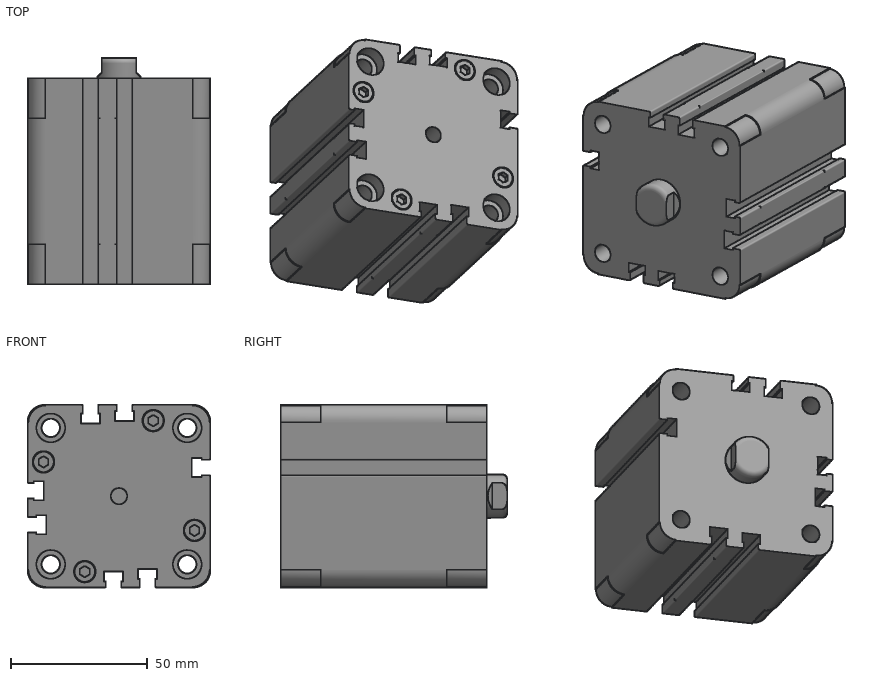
import cadquery as cq
import math

side = 67.0
total_length = 83.0
rod_length = 7.5
body_length = total_length - rod_length
cap_length = 14.7
tube_length = body_length - 2 * cap_length
tube_corner_radius = 6.5
cap_corner_step = 0.3

mouth_width = 5.6
cavity_width = 6.9
cavity_height = 3.6
deep_lip = 3.2
shallow_lip = 2.3
deep_slot_offset = -10.45
shallow_slot_offset = 2.0
lip_radius = 0.6
tube_rib_radius = 0.3

mount_offset = 25.0
mount_diameter = 6.6
counterbore_diameter = 10.5
counterbore_depth = 6.5

screw_along_side = 12.5
screw_from_centre = 27.6
screw_recess_diameter = 8.0
screw_head_diameter = 7.5
screw_gap_depth = 0.8
hex_across_flats = 3.6
hex_depth = 2.5

centre_hole_diameter = 6.0
centre_hole_depth = 10.0

rod_diameter = 16.0
rod_tip_radius = 2.0
flat_width = 12.8
flat_length = 5.5

overlap = 0.8


def section(y_start):
    """Sketch plane across the body at y_start; local axes are X and Z."""
    return cq.Workplane("XZ", origin=(0, y_start, 0))


def slot_cutter(y_start, length, offset, lip, left_radius, right_radius):
    """T-slot in the top side, with rounded lips at the mouth."""
    top = side / 2
    outside = top + overlap
    left = offset - mouth_width / 2
    right = offset + mouth_width / 2
    lip_bottom = top - lip
    floor = lip_bottom - cavity_height
    mid_arc = 1 - math.sqrt(0.5)
    left_mid = (left - mid_arc * left_radius, top - mid_arc * left_radius)
    right_mid = (right + mid_arc * right_radius, top - mid_arc * right_radius)
    return (
        section(y_start)
        .moveTo(left - left_radius, top)
        .threePointArc(left_mid, (left, top - left_radius))
        .lineTo(left, lip_bottom)
        .lineTo(offset - cavity_width / 2, lip_bottom)
        .lineTo(offset - cavity_width / 2, floor)
        .lineTo(offset + cavity_width / 2, floor)
        .lineTo(offset + cavity_width / 2, lip_bottom)
        .lineTo(right, lip_bottom)
        .lineTo(right, top - right_radius)
        .threePointArc(right_mid, (right + right_radius, top))
        .lineTo(right + right_radius, outside)
        .lineTo(left - left_radius, outside)
        .close()
        .extrude(-length)
    )


def cut_slots(block, y_start, length, rib_radius):
    """Cut the slots on all four sides; the +X side has the deep slot only."""
    deep = slot_cutter(y_start, length, deep_slot_offset, deep_lip, lip_radius, rib_radius)
    single = slot_cutter(y_start, length, deep_slot_offset, deep_lip, lip_radius, lip_radius)
    shallow = slot_cutter(y_start, length, shallow_slot_offset, shallow_lip, rib_radius, lip_radius)
    for angle in (0, -90, 180):
        block = block.cut(deep.rotate((0, 0, 0), (0, 1, 0), angle))
        block = block.cut(shallow.rotate((0, 0, 0), (0, 1, 0), angle))
    return block.cut(single.rotate((0, 0, 0), (0, 1, 0), 90))


def make_tube():
    """Middle length of the body, with plain rounded corners."""
    tube = section(cap_length).rect(side, side).extrude(-tube_length).edges("|Y").fillet(tube_corner_radius)
    return cut_slots(tube, cap_length, tube_length, tube_rib_radius)


def make_cap(y_start):
    """End cap whose rounded corners are stepped in slightly from its flat sides."""
    flat_span = side - 2 * tube_corner_radius
    corner_radius = tube_corner_radius - cap_corner_step
    cap = section(y_start).rect(side, flat_span).extrude(-cap_length)
    cap = cap.union(section(y_start).rect(flat_span, side).extrude(-cap_length))
    corners = section(y_start).rect(flat_span, flat_span, forConstruction=True).vertices()
    cap = cap.union(corners.circle(corner_radius).extrude(-cap_length))
    return cut_slots(cap, y_start, cap_length, lip_radius)


def make_rod():
    """Rod end with a rounded tip and two wrench flats that run out at 45 degrees."""
    rod = section(body_length).circle(rod_diameter / 2).extrude(-rod_length)
    rod = rod.faces(">Y").edges().fillet(rod_tip_radius)
    flat_start = total_length - flat_length
    run_out = rod_diameter / 2
    half_flat = flat_width / 2
    for direction in (-1, 1):
        flat = (
            cq.Workplane("XY", origin=(0, 0, -rod_diameter / 2))
            .moveTo(direction * half_flat, total_length + overlap)
            .lineTo(direction * half_flat, flat_start)
            .lineTo(direction * (half_flat + run_out), flat_start - run_out)
            .lineTo(direction * (half_flat + run_out), total_length + overlap)
            .close()
            .extrude(rod_diameter)
        )
        rod = rod.cut(flat)
    return rod


def cut_mounting_holes(body):
    """Through holes near the four corners, counterbored from the front face."""
    spacing = 2 * mount_offset
    centres = section(0).rect(spacing, spacing, forConstruction=True).vertices()
    body = body.cut(centres.circle(mount_diameter / 2).extrude(-body_length), clean=False)
    return body.cut(centres.circle(counterbore_diameter / 2).extrude(-counterbore_depth), clean=False)


def cut_screws(body):
    """Ring gap around each screw head and a hexagon socket in its middle."""
    places = [
        (screw_along_side, screw_from_centre),
        (screw_from_centre, -screw_along_side),
        (-screw_along_side, -screw_from_centre),
        (-screw_from_centre, screw_along_side),
    ]
    hex_across_corners = hex_across_flats / math.cos(math.pi / 6)
    gaps = (
        section(0)
        .pushPoints(places)
        .circle(screw_recess_diameter / 2)
        .circle(screw_head_diameter / 2)
        .extrude(-screw_gap_depth)
    )
    body = body.cut(gaps, clean=False)
    for x, z in places:
        socket = section(0).polygon(6, hex_across_corners).extrude(-hex_depth)
        socket = socket.rotate((0, 0, 0), (0, 1, 0), 30).translate((x, 0, z))
        body = body.cut(socket, clean=False)
    return body


body = make_cap(0).union(make_tube(), clean=False)
body = body.union(make_cap(body_length - cap_length), clean=False)
body = body.union(make_rod(), clean=False)
body = cut_mounting_holes(body)
body = cut_screws(body)
centre_hole = section(0).circle(centre_hole_diameter / 2).extrude(-centre_hole_depth)
result = body.cut(centre_hole, clean=False)